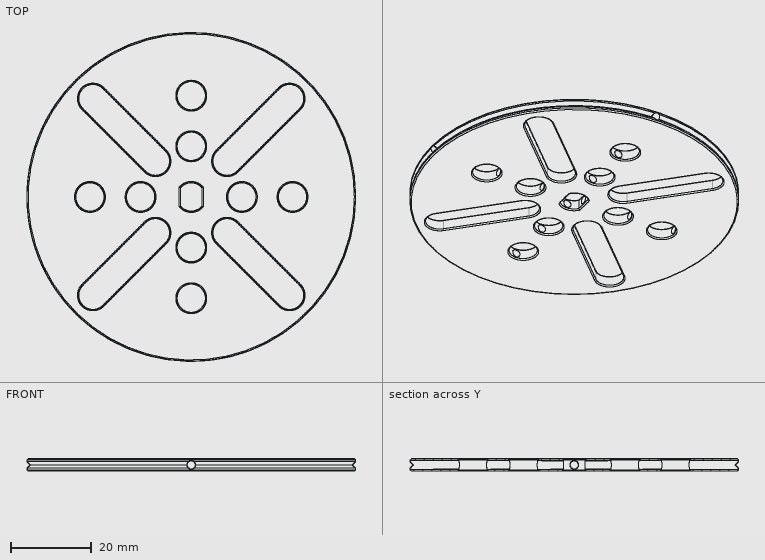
import cadquery as cq
import math

disk_diameter = 81.25
thickness = 3.1
edge_chamfer = 0.3

groove_width = 1.6
groove_depth = 0.8

hole_diameter = 7.0
hole_circle_radii = (12.5, 25.0)
slot_inner_radius = 12.5
slot_outer_radius = 34.4
quarter_angles = (0, 90, 180, 270)
slot_start_angle = 45

shaft_hole_flat_width = 5.3

cross_hole_diameter = 2.0
cross_hole_seam_angle = 45

disk_radius = disk_diameter / 2
half_thickness = thickness / 2


def through_prism(profile):
    """Shape as thick as the disk, centred on the mid-plane."""
    return profile.extrude(half_thickness, both=True)


def make_disk():
    """Plain round plate centred on the mid-plane."""
    return through_prism(cq.Workplane("XY").circle(disk_radius))


def make_rim_groove():
    """Ring of triangular section with its point towards the axis."""
    return (
        cq.Workplane("XZ")
        .moveTo(disk_radius, groove_width / 2)
        .lineTo(disk_radius - groove_depth, 0)
        .lineTo(disk_radius, -groove_width / 2)
        .close()
        .revolve(360, (0, 0), (0, 1))
    )


def make_round_holes():
    """Four holes on each hole circle, on the X and Y axes."""
    centres = [
        (radius * math.cos(math.radians(angle)), radius * math.sin(math.radians(angle)))
        for radius in hole_circle_radii
        for angle in quarter_angles
    ]
    return through_prism(cq.Workplane("XY").pushPoints(centres).circle(hole_diameter / 2))


def make_slots():
    """Four radial slots on the diagonals."""
    middle_radius = (slot_inner_radius + slot_outer_radius) / 2
    slot_length = slot_outer_radius - slot_inner_radius + hole_diameter
    slot = through_prism(cq.Workplane("XY").center(middle_radius, 0).slot2D(slot_length, hole_diameter))
    slots = cq.Workplane("XY")
    for angle in quarter_angles:
        slots = slots.add(slot.rotate((0, 0, 0), (0, 0, 1), slot_start_angle + angle))
    return slots.combine()


def make_shaft_hole():
    """Round hole with two flats facing along X."""
    bore = through_prism(cq.Workplane("XY").circle(hole_diameter / 2))
    flats = cq.Workplane("XY").box(shaft_hole_flat_width, hole_diameter, thickness)
    return bore.intersect(flats)


def make_cross_hole(plane):
    """Hole through the whole disk, square to the given plane.

    The cylinder is turned about its axis so its seam stays clear of the groove valley.
    """
    section = cq.Workplane(plane).transformed(rotate=(0, 0, cross_hole_seam_angle))
    return section.circle(cross_hole_diameter / 2).extrude(disk_diameter, both=True)


result = make_disk().cut(make_round_holes()).cut(make_slots()).cut(make_shaft_hole())

result = result.faces("<Z or >Z").edges().chamfer(edge_chamfer)

result = result.cut(make_rim_groove()).cut(make_cross_hole("YZ")).cut(make_cross_hole("XZ"))